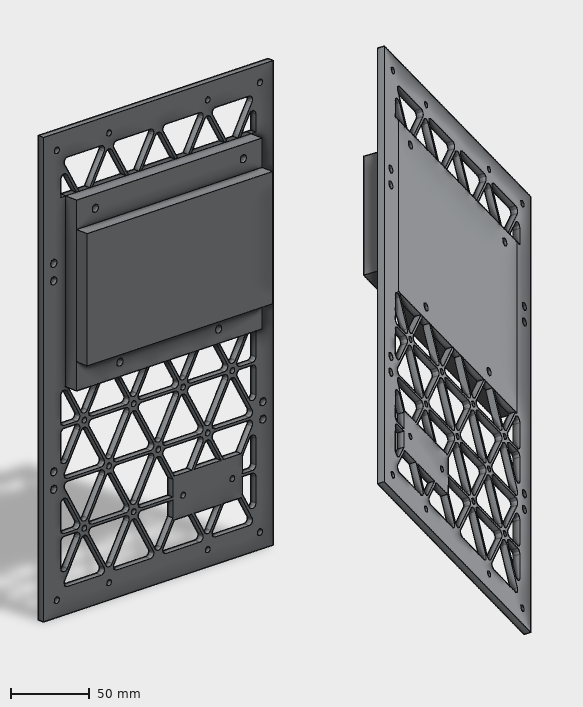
import cadquery as cq
import math

SIDES = (-1, 1)

FRAME_WIDTH = 198.0
FRAME_HEIGHT = 330.0
FRAME_THICKNESS = 5.0

LATTICE_WIDTH = 170.0
PITCHES_ACROSS = 4
NODE_PITCH = LATTICE_WIDTH / PITCHES_ACROSS
ROW_PITCH = NODE_PITCH * math.sqrt(3) / 2
EDGE_ROW = 4
WEB_WIDTH = 2.0
WINDOW_FILLET = 3.0
NODE_HOLE_DIAMETER = 4.0
DRILLED_ROWS = (-1, -2, -3)

PAD_WIDTH = 60.0
PAD_HEIGHT = 30.0
PAD_Y = NODE_PITCH
PAD_ROW = -3
PAD_Z = PAD_ROW * ROW_PITCH

END_HOLE_Z = 153.0
CORNER_HOLE_Y = 87.5
CORNER_HOLE_DIAMETER = 4.3
INNER_HOLE_Y = NODE_PITCH
INNER_HOLE_DIAMETER = 4.0
SIDE_HOLE_Y = 90.0
SIDE_HOLE_Z = 71.0
SIDE_HOLE_SPACING = 12.0
SIDE_HOLE_DIAMETER = 5.3

STACK_WIDTH = 159.7
LOWER_MOUNT_ROW = 0
UPPER_MOUNT_ROW = 3
STACK_Z = (LOWER_MOUNT_ROW + UPPER_MOUNT_ROW) / 2 * ROW_PITCH
PANEL_HEIGHT = 130.0
BASE_THICKNESS = 10.2
COVER_HEIGHT = 90.0
COVER_THICKNESS = 10.0
BASE_X = FRAME_THICKNESS
COVER_X = BASE_X + BASE_THICKNESS
MOUNT_HOLE_DIAMETER = 5.3
MOUNT_HOLES = [
    (side * y, row * ROW_PITCH)
    for y, row in ((NODE_PITCH, LOWER_MOUNT_ROW), (1.5 * NODE_PITCH, UPPER_MOUNT_ROW))
    for side in SIDES
]


def block(width, height, thickness, x=0.0, y=0.0, z=0.0):
    """Box centred on y and z that starts at x and extends along +X."""
    return cq.Workplane("YZ", origin=(x, y, z)).rect(width, height).extrude(thickness)


def hole_cutters(points, diameter, depth, x=0.0):
    """Cylinders along +X at the (y, z) points."""
    return cq.Workplane("YZ", origin=(x, 0, 0)).pushPoints(points).circle(diameter / 2).extrude(depth)


def node_positions(row):
    """Y of each lattice node in a row; odd rows are shifted by half a pitch."""
    if row % 2 == 0:
        return [i * NODE_PITCH - LATTICE_WIDTH / 2 for i in range(PITCHES_ACROSS + 1)]
    return [(i + 0.5) * NODE_PITCH - LATTICE_WIDTH / 2 for i in range(PITCHES_ACROSS)]


def window(corners):
    """Rounded opening inside a lattice cell, half a web in from the cell's sides."""
    return (
        cq.Workplane("YZ")
        .polyline(corners)
        .close()
        .offset2D(-WEB_WIDTH / 2, "intersection")
        .extrude(FRAME_THICKNESS)
        .edges("|X")
        .fillet(WINDOW_FILLET)
    )


def band_cells(even_row, odd_row):
    """Corners of every cell between two neighbouring rows of nodes."""
    even_z = even_row * ROW_PITCH
    odd_z = odd_row * ROW_PITCH
    even_nodes = node_positions(even_row)
    odd_nodes = node_positions(odd_row)
    cells = []
    for left, right, tip in zip(even_nodes, even_nodes[1:], odd_nodes):
        cells.append([(left, even_z), (right, even_z), (tip, odd_z)])
    for left, right, tip in zip(odd_nodes, odd_nodes[1:], even_nodes[1:]):
        cells.append([(left, odd_z), (right, odd_z), (tip, even_z)])
    for side in SIDES:
        edge_y = side * LATTICE_WIDTH / 2
        node_y = side * odd_nodes[-1]
        cells.append([(edge_y, even_z), (edge_y, odd_z), (node_y, odd_z)])
    return cells


def lattice_windows():
    """All lattice openings, left solid across the panel's height and at the pad."""
    windows = []
    for odd_row in range(1 - EDGE_ROW, EDGE_ROW, 2):
        for even_row in (odd_row - 1, odd_row + 1):
            windows += [window(corners).val() for corners in band_cells(even_row, odd_row)]
    panel_band = block(LATTICE_WIDTH, PANEL_HEIGHT, FRAME_THICKNESS, z=STACK_Z)
    pad = block(PAD_WIDTH, PAD_HEIGHT, FRAME_THICKNESS, y=PAD_Y, z=PAD_Z)
    openings = cq.Workplane(cq.Compound.makeCompound(windows))
    return openings.cut(panel_band).cut(pad)


def frame_holes():
    """Cutters for the border holes and the holes at the lattice nodes."""
    corners = [(sy * CORNER_HOLE_Y, sz * END_HOLE_Z) for sy in SIDES for sz in SIDES]
    inner = [(sy * INNER_HOLE_Y, sz * END_HOLE_Z) for sy in SIDES for sz in SIDES]
    sides = [
        (sy * SIDE_HOLE_Y, sz * SIDE_HOLE_Z + offset * SIDE_HOLE_SPACING / 2)
        for sy in SIDES
        for sz in SIDES
        for offset in SIDES
    ]
    nodes = [
        (y, row * ROW_PITCH)
        for row in DRILLED_ROWS
        for y in node_positions(row)
        if abs(y) < LATTICE_WIDTH / 2
    ]
    cutters = hole_cutters(corners, CORNER_HOLE_DIAMETER, FRAME_THICKNESS)
    cutters = cutters.add(hole_cutters(inner, INNER_HOLE_DIAMETER, FRAME_THICKNESS))
    cutters = cutters.add(hole_cutters(sides, SIDE_HOLE_DIAMETER, FRAME_THICKNESS))
    cutters = cutters.add(hole_cutters(nodes, NODE_HOLE_DIAMETER, FRAME_THICKNESS))
    return cq.Workplane(cq.Compound.makeCompound(cutters.vals()))


def make_frame():
    """Lattice plate with a rectangular opening that holds the panel."""
    plate = block(FRAME_WIDTH, FRAME_HEIGHT, FRAME_THICKNESS)
    panel_opening = block(STACK_WIDTH, PANEL_HEIGHT, FRAME_THICKNESS, z=STACK_Z)
    return plate.cut(lattice_windows()).cut(panel_opening).cut(frame_holes())


def make_panel():
    """Panel flush with both faces of the frame."""
    panel = block(STACK_WIDTH, PANEL_HEIGHT, FRAME_THICKNESS, z=STACK_Z)
    return panel.cut(hole_cutters(MOUNT_HOLES, MOUNT_HOLE_DIAMETER, FRAME_THICKNESS))


def make_base():
    """Block against the back of the panel, drilled through in line with it."""
    base = block(STACK_WIDTH, PANEL_HEIGHT, BASE_THICKNESS, x=BASE_X, z=STACK_Z)
    return base.cut(hole_cutters(MOUNT_HOLES, MOUNT_HOLE_DIAMETER, BASE_THICKNESS, x=BASE_X))


def make_cover():
    """Plain block against the back of the base, clear of the mounting holes."""
    return block(STACK_WIDTH, COVER_HEIGHT, COVER_THICKNESS, x=COVER_X, z=STACK_Z)


frame = make_frame().solids()
panel = make_panel().solids()
base = make_base().solids()
cover = make_cover().solids()

result = cq.Compound.makeCompound([frame.val(), panel.val(), base.val(), cover.val()])